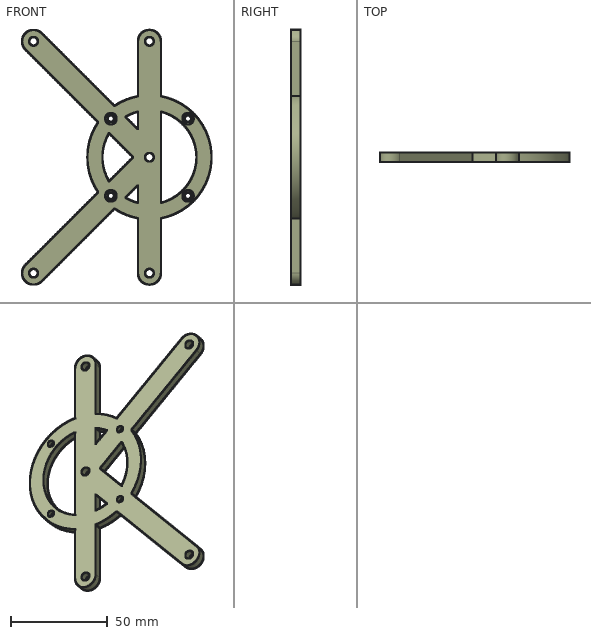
import cadquery as cq
import math

height = 132.0
thickness = 5.0
arm_width = 12.0
pitch_radius = 28.2
ring_width = 7.9
arm_hole_diameter = 4.4
screw_hole_diameter = 3.3
screw_head_diameter = 6.0
countersink_angle = 90

arm_reach = (height - arm_width) / 2
ring_outer_radius = pitch_radius + ring_width / 2
ring_inner_radius = pitch_radius - ring_width / 2
screw_offset = pitch_radius / math.sqrt(2)

arm_ends = [
    (0, arm_reach),
    (0, -arm_reach),
    (-arm_reach, arm_reach),
    (-arm_reach, -arm_reach),
]
screw_points = [(x * screw_offset, z * screw_offset) for x in (-1, 1) for z in (-1, 1)]


def front_plane():
    """Workplane on the front face, with its normal pointing out along -Y."""
    return cq.Workplane("XZ")


def arm(end):
    """Round-ended bar from the ring centre to the given end point."""
    x, z = end
    length = math.hypot(x, z)
    angle = math.degrees(math.atan2(z, x))
    return (
        front_plane()
        .center(x / 2, z / 2)
        .slot2D(length + arm_width, arm_width, angle)
        .extrude(-thickness)
    )


result = front_plane().circle(ring_outer_radius).circle(ring_inner_radius).extrude(-thickness)
for end in arm_ends:
    result = result.union(arm(end))

arm_holes = (
    front_plane()
    .pushPoints([(0, 0)] + arm_ends)
    .circle(arm_hole_diameter / 2)
    .extrude(-thickness)
)
result = result.cut(arm_holes)

result = (
    front_plane()
    .add(result)
    .pushPoints(screw_points)
    .cskHole(screw_hole_diameter, screw_head_diameter, countersink_angle)
)